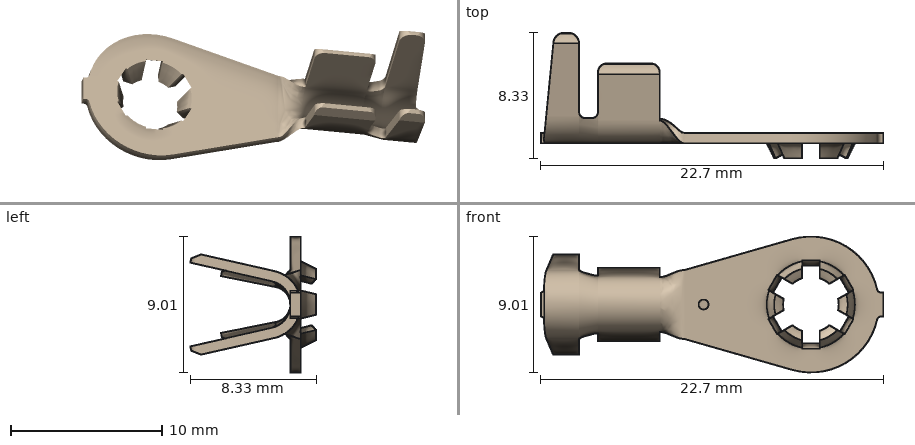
import cadquery as cq
import math

thickness = 0.7

ring_radius = 4.505
tongue_start_x = -8.36
tongue_half_width = 2.29
end_tab_half_width = 0.8
end_tab_x = 4.8
end_tab_fillet = 0.25
dimple_x = -7.1
dimple_radius = 0.33
dimple_depth = 0.05

tooth_count = 6
hole_radius = 2.92
tooth_drop = 1.0
tooth_thickness = 0.67
tooth_lean = math.radians(26)
gap_width = 1.15
gap_back_radius = 2.56

wire_start_x = -14.1
wire_end_x = -10.0
wire_radius = 1.866
wire_lean = math.radians(11.3)
wire_top_y = 5.3
wire_corner = 0.62

insulation_end_x = -15.33
insulation_root_x = -17.7
insulation_radius = 2.284
insulation_lean = math.radians(12.75)
insulation_top_y = 7.33
insulation_edge_lean = math.radians(5.6)
insulation_corner = 0.75

tip_length = 0.72
tip_thickness = 0.3

relief_bottom_y = 1.68
relief_top_y = 2.1
relief_fillet = 0.38

overall_length = 22.67
carrier_tab_x = end_tab_x - overall_length
carrier_tab_half_width = 0.78
carrier_tab_root_half_width = 0.92

neck_steps = 6


def tongue():
    """Flat ring with sides tangent to it, and the small tab at its far end."""
    corner_distance = math.hypot(tongue_start_x, tongue_half_width)
    corner_angle = math.atan2(tongue_half_width, tongue_start_x)
    tangent_angle = corner_angle - math.acos(ring_radius / corner_distance)
    tangent_x = ring_radius * math.cos(tangent_angle)
    tangent_z = ring_radius * math.sin(tangent_angle)
    plate = (
        cq.Workplane("XZ")
        .moveTo(tongue_start_x, -tongue_half_width)
        .lineTo(tangent_x, -tangent_z)
        .threePointArc((ring_radius, 0), (tangent_x, tangent_z))
        .lineTo(tongue_start_x, tongue_half_width)
        .close()
        .extrude(-thickness)
    )
    tab = cq.Workplane("XY").box(
        end_tab_x, thickness, 2 * end_tab_half_width, centered=(False, False, True)
    )
    tab_root_x = math.sqrt(ring_radius**2 - end_tab_half_width**2)
    root_margin = 0.1
    root_edges = cq.selectors.BoxSelector(
        (tab_root_x - root_margin, -root_margin, -ring_radius),
        (tab_root_x + root_margin, thickness + root_margin, ring_radius),
    )
    plate = plate.union(tab).edges("|Y").edges(root_edges).fillet(end_tab_fillet)
    hole = cq.Workplane("XZ").circle(hole_radius).extrude(-thickness)
    dimple = cq.Workplane("XZ").center(dimple_x, 0).circle(dimple_radius).extrude(-dimple_depth)
    return plate.cut(hole).cut(dimple)


def star_teeth():
    """Conical collar leaning inward toward -Y, spread over the sheet thickness."""
    outer_tip_x = hole_radius - tooth_drop * math.tan(tooth_lean)
    inner_tip_x = outer_tip_x - tooth_thickness * math.cos(tooth_lean)
    inner_tip_y = -tooth_drop + tooth_thickness * math.sin(tooth_lean)
    inner_back_x = inner_tip_x + (thickness - inner_tip_y) * math.tan(tooth_lean)
    return (
        cq.Workplane("XY")
        .polyline([
            (hole_radius, thickness),
            (hole_radius, 0),
            (outer_tip_x, -tooth_drop),
            (inner_tip_x, inner_tip_y),
            (inner_back_x, thickness),
        ])
        .close()
        .revolve(360, (0, 0, 0), (0, 1, 0))
    )


def tooth_gaps():
    """Radial slots between the teeth, with sloped ends through the sheet."""
    gap = (
        cq.Workplane("XY")
        .polyline([
            (0, -2 * tooth_drop),
            (hole_radius, -2 * tooth_drop),
            (hole_radius, 0),
            (gap_back_radius, thickness),
            (0, thickness),
        ])
        .close()
        .extrude(gap_width / 2, both=True)
    )
    pitch = 360 / tooth_count
    gaps = cq.Workplane("XY")
    for i in range(tooth_count):
        gaps = gaps.union(gap.rotate((0, 0, 0), (0, 1, 0), (i + 0.5) * pitch))
    return gaps


def add_barrel_section(plane, radius, lean, top_y, thin_tip):
    """Draw a U section (Y, Z): a round bottom and two legs leaning outward."""
    inner_radius = radius - thickness
    outer_bend = (radius - radius * math.sin(lean), radius * math.cos(lean))
    inner_bend = (radius - inner_radius * math.sin(lean), inner_radius * math.cos(lean))

    def leg_z(bend, y):
        return bend[1] + (y - bend[0]) * math.tan(lean)

    inner_tip = (top_y, leg_z(inner_bend, top_y))
    if thin_tip:
        shoulder_y = top_y - tip_length
        outer_leg = [
            outer_bend,
            (shoulder_y, leg_z(outer_bend, shoulder_y)),
            (
                top_y - tip_thickness * math.sin(lean),
                inner_tip[1] + tip_thickness * math.cos(lean),
            ),
        ]
    else:
        outer_leg = [outer_bend, (top_y, leg_z(outer_bend, top_y))]
    leg = outer_leg + [inner_tip, inner_bend]
    mirrored_leg = [(y, -z) for y, z in reversed(leg)]

    section = plane.moveTo(*mirrored_leg[-1]).threePointArc((0, 0), outer_bend)
    for point in leg[1:]:
        section = section.lineTo(*point)
    section = section.threePointArc((thickness, 0), mirrored_leg[0])
    for point in mirrored_leg[1:-1]:
        section = section.lineTo(*point)
    return section.close()


def barrel(start_x, end_x, radius, lean, top_y):
    plane = cq.Workplane("YZ", origin=(start_x, 0, 0))
    return add_barrel_section(plane, radius, lean, top_y, True).extrude(end_x - start_x)


def side_outline(start_x, end_x, top_y, edge_lean, corner):
    """Side shape of a wing pair, with rounded top corners, spanning all Z."""
    return (
        cq.Workplane("XY")
        .polyline([
            (start_x, 0),
            (end_x, 0),
            (end_x, top_y),
            (start_x + top_y * math.tan(edge_lean), top_y),
        ])
        .close()
        .extrude(ring_radius, both=True)
        .edges("|Z and >Y")
        .fillet(corner)
    )


def wire_barrel():
    wings = barrel(wire_start_x, wire_end_x, wire_radius, wire_lean, wire_top_y)
    return wings.intersect(side_outline(wire_start_x, wire_end_x, wire_top_y, 0, wire_corner))


def insulation_barrel():
    wings = barrel(
        insulation_root_x, insulation_end_x, insulation_radius, insulation_lean, insulation_top_y
    )
    outline = side_outline(
        insulation_root_x, insulation_end_x, insulation_top_y, insulation_edge_lean, insulation_corner
    )
    return wings.intersect(outline)


def barrel_link():
    """Tapered trough joining the two barrels, with a rounded relief cut above."""
    length = wire_start_x - insulation_end_x
    plane = cq.Workplane("YZ", origin=(insulation_end_x, 0, 0))
    section = add_barrel_section(plane, insulation_radius, insulation_lean, relief_top_y, False)
    section = section.workplane(offset=length)
    section = add_barrel_section(section, wire_radius, wire_lean, relief_top_y, False)
    link = section.loft(ruled=True)
    relief = (
        cq.Workplane("XY", origin=(insulation_end_x, relief_bottom_y, 0))
        .rect(length, relief_top_y, centered=False)
        .extrude(ring_radius, both=True)
        .edges("|Z and <Y")
        .fillet(relief_fillet)
    )
    return link.cut(relief)


def neck():
    """Transition unrolling the round trough of the wire barrel into the flat tongue."""
    start_half_angle = math.pi / 2 - wire_lean
    start_half_width = wire_radius * math.sin(start_half_angle)
    length = tongue_start_x - wire_end_x
    sections = cq.Workplane("YZ", origin=(wire_end_x, 0, 0))
    for i in range(neck_steps):
        curl = (1 + math.cos(math.pi * i / neck_steps)) / 2
        half_angle = start_half_angle * curl
        half_width = tongue_half_width + (start_half_width - tongue_half_width) * curl
        radius = half_width / math.sin(half_angle)
        inner_radius = radius - thickness
        outer_y = radius - radius * math.cos(half_angle)
        inner_y = radius - inner_radius * math.cos(half_angle)
        inner_half_width = inner_radius * math.sin(half_angle)
        sections = (
            sections.moveTo(outer_y, -half_width)
            .threePointArc((0, 0), (outer_y, half_width))
            .lineTo(inner_y, inner_half_width)
            .threePointArc((thickness, 0), (inner_y, -inner_half_width))
            .close()
            .workplane(offset=length / neck_steps)
        )
    return (
        sections.moveTo(0, -tongue_half_width)
        .lineTo(0, tongue_half_width)
        .lineTo(thickness, tongue_half_width)
        .lineTo(thickness, -tongue_half_width)
        .close()
        .loft()
    )


def carrier_tab():
    """Short flat tab that widens where it meets the barrel edge."""
    root_x = insulation_root_x + thickness * math.tan(insulation_edge_lean)
    return (
        cq.Workplane("XZ")
        .polyline([
            (carrier_tab_x, -carrier_tab_half_width),
            (root_x, -carrier_tab_root_half_width),
            (root_x, carrier_tab_root_half_width),
            (carrier_tab_x, carrier_tab_half_width),
        ])
        .close()
        .extrude(-thickness)
    )


result = (
    tongue()
    .union(star_teeth())
    .cut(tooth_gaps())
    .union(neck())
    .union(wire_barrel())
    .union(barrel_link())
    .union(insulation_barrel())
    .union(carrier_tab())
)